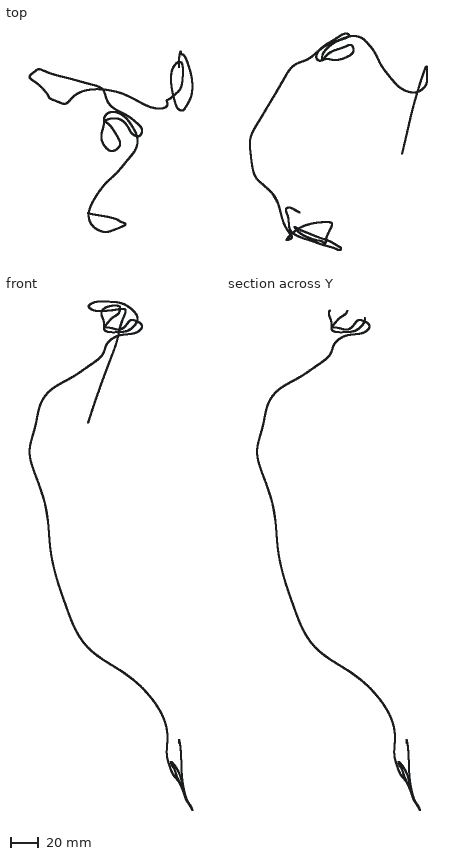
import cadquery as cq

wire_diameter = 0.355
span_count = 60


straight_end = [
    (42.8, 13.5, 278.0),
    (50.0, 12.0, 300.0),
    (58.0, 10.5, 322.0),
    (64.0, 8.8, 339.0),
    (67.3, 7.0, 351.5),
]

hook = [
    (69.5, 5.0, 359.5),
    (62.0, 2.0, 359.5),
    (55.5, 0.0, 358.5),
    (46.8, 3.5, 359.0),
    (43.5, 9.0, 361.0),
    (43.5, 15.0, 362.5),
    (47.5, 24.0, 364.8),
    (56.0, 35.5, 365.0),
    (63.2, 42.5, 364.8),
]

upper_coil = [
    (71.3, 52.0, 362.0),
    (77.0, 60.0, 356.5),
    (78.2, 67.0, 352.0),
    (74.5, 75.5, 346.5),
    (71.3, 80.5, 344.5),
    (63.2, 86.0, 343.2),
    (56.5, 85.0, 343.5),
    (54.5, 82.2, 345.0),
    (54.0, 77.5, 350.2),
    (52.3, 69.0, 356.5),
    (55.2, 61.0, 360.8),
    (60.0, 58.0, 362.3),
    (65.5, 61.8, 361.5),
    (65.0, 66.0, 357.5),
    (61.0, 73.0, 354.2),
    (57.0, 78.0, 350.2),
    (55.2, 80.0, 347.0),
    (57.8, 81.0, 346.5),
    (65.0, 81.0, 345.0),
    (71.3, 75.5, 350.0),
    (74.5, 70.5, 352.0),
    (79.0, 68.7, 350.5),
    (81.5, 72.5, 347.5),
    (78.0, 78.2, 343.2),
    (71.3, 83.5, 341.8),
    (64.5, 87.0, 340.7),
]

long_run = [
    (58.0, 91.8, 337.0),
    (55.5, 97.0, 333.5),
    (53.5, 102.5, 327.5),
    (43.5, 106.5, 319.0),
    (30.5, 110.0, 310.5),
    (15.5, 114.0, 301.2),
    (9.0, 116.5, 292.8),
    (4.8, 115.5, 275.3),
    (0.7, 111.5, 257.7),
    (5.0, 107.5, 240.0),
    (13.0, 99.5, 213.5),
    (15.7, 95.8, 187.0),
    (22.0, 93.2, 161.0),
    (27.5, 92.5, 145.0),
    (31.5, 96.5, 134.5),
    (42.5, 102.0, 117.0),
    (67.3, 99.5, 99.5),
    (87.0, 90.0, 82.0),
    (97.5, 89.2, 64.5),
]

lower_coil = [
    (99.8, 92.0, 51.0),
    (99.5, 94.5, 38.7),
    (101.5, 95.8, 30.7),
    (103.8, 97.5, 25.5),
    (108.2, 101.5, 20.0),
    (110.0, 105.5, 16.0),
    (110.8, 111.5, 14.5),
    (110.8, 118.5, 16.5),
    (109.3, 122.0, 23.5),
    (105.5, 120.5, 31.0),
    (103.0, 116.2, 34.0),
    (102.5, 109.5, 34.5),
    (103.0, 102.0, 32.0),
    (105.0, 94.3, 29.0),
    (107.0, 89.0, 22.5),
    (110.8, 87.5, 14.5),
    (113.0, 90.0, 8.0),
    (116.0, 95.0, 3.5),
    (117.7, 104.0, 0.0),
    (117.0, 112.0, 1.5),
    (115.0, 118.8, 4.5),
    (113.0, 124.5, 9.5),
    (110.5, 127.5, 22.3),
    (109.5, 128.3, 36.5),
    (109.0, 129.0, 46.5),
    (108.2, 125.0, 50.5),
    (108.2, 121.7, 49.5),
    (108.2, 118.5, 48.3),
]


def smooth_path(points):
    """A wire along the spline through the points, cut into spans of equal length."""
    curve = cq.Edge.makeSpline([cq.Vector(*point) for point in points])
    cuts = [curve.paramAt(i / span_count) for i in range(span_count + 1)]
    spans = [curve.trim(start, end) for start, end in zip(cuts, cuts[1:])]
    return cq.Wire.assembleEdges(spans)


def round_wire(path, diameter):
    """A round section swept along the path."""
    section_plane = cq.Plane(origin=path.startPoint(), normal=path.tangentAt(0))
    section = cq.Workplane(section_plane).circle(diameter / 2)
    return section.sweep(cq.Workplane(obj=path))


centre_line = smooth_path(straight_end + hook + upper_coil + long_run + lower_coil)
result = round_wire(centre_line, wire_diameter)